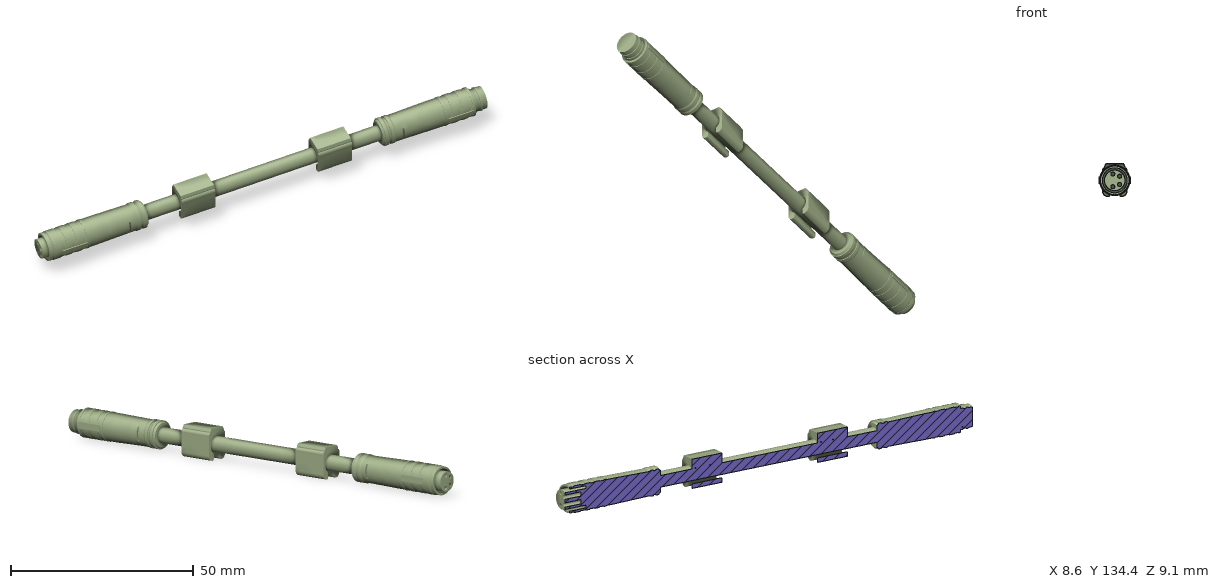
import cadquery as cq
import math


half_length = 67.2
cable_dia = 4.5

ring_dia = 8.3
shoulder_dia = 8.0

boot_end_dia = 7.7
boot_tip_dia = 6.9
boot_rib_dia = 8.0
boot_rib_starts = [0.4, 1.8]
boot_rib_length = 0.7
boot_rib_slope = 0.3
boot_groove_dia = 7.5

ring_length = 9.1
groove_count = 3
groove_pitch = 3.1
groove_width = 1.5
groove_depth = 0.1
groove_tip_height = 1.01
groove_full_height = 2.0
grip_length = 7.5
grip_height = 1.7
grip_span = 8.6

notch_width = 0.5
notch_span = 6.5

male_nose_dia = 6.9
male_core_dia = 6.5
male_rib_dia = male_nose_dia
male_rib_start = 65.7
male_rib_end = 65.2
male_neck_end = 64.1
male_ring_start = 63.3
male_ring_end = male_ring_start - ring_length
male_shoulder_end = 51.1
male_notch_y = 41.7
male_tip = 35.6

socket_face_dia = 5.6
socket_bore_dia = 6.9
socket_bore_depth = 5.4
socket_sleeve_front = -65.6
socket_groove_dia = 7.8
socket_groove_start = -64.1
socket_groove_bottom = -64.4
socket_groove_end = -64.6
socket_ring_start = -53.5
socket_ring_end = socket_ring_start - ring_length
socket_shoulder_start = -50.7
socket_notch_y = -41.1
socket_tip = -35.5

contact_dia = 1.1
contact_depth = 5.4
contact_points = [(1.3, 1.13), (1.3, -1.13), (-0.5, 1.7), (-0.5, -1.7)]

sleeve_length = 10.1
sleeve_centers = [21.1, -20.3]
sleeve_half_width = 3.4
sleeve_top = 4.6
sleeve_bottom = -4.5
sleeve_plate_half_width = 2.8
sleeve_plate_chamfer_width = 0.4
sleeve_plate_chamfer_height = 0.8
sleeve_shoulder_z = 3.5
sleeve_side_top = 2.4
sleeve_foot_radius = 1.5
sleeve_mouth_half_width = 1.3
sleeve_bore_dia = 5.1
sleeve_bore_z = -0.4

cut_margin = 1.3

diagonal = math.sqrt(0.5)


def turned(stations):
    """Solid of revolution about Y from (y, diameter) stations."""
    first_y = stations[0][0]
    last_y = stations[-1][0]
    outline = [(0, first_y)]
    outline += [(dia / 2, y) for y, dia in stations]
    outline.append((0, last_y))
    return cq.Workplane("XY").polyline(outline).close().revolve(360, (0, 0), (0, 1))


def cylinder(dia, y_start, y_end):
    return turned([(y_start, dia), (y_end, dia)])


def boot_stations(tip_y, direction):
    """Stations of a boot's ribbed end, going from the cable towards the plug."""
    distances = [(0, boot_tip_dia)]
    for start in boot_rib_starts:
        end = start + boot_rib_length
        distances += [
            (start, boot_groove_dia),
            (start, boot_rib_dia),
            (end, boot_rib_dia),
            (end + boot_rib_slope, boot_groove_dia),
        ]
    distances[-1] = (end + boot_rib_slope, boot_end_dia)
    return [(tip_y + direction * distance, dia) for distance, dia in distances]


def ring_groove(center_y):
    """Shallow groove over the top and bottom, ending in points beside the grip bars."""
    band = cylinder(ring_dia + cut_margin, center_y - groove_width, center_y + groove_width)
    band = band.cut(
        cylinder(ring_dia - 2 * groove_depth, center_y - groove_width, center_y + groove_width)
    )
    half = groove_width / 2
    upper_window = (
        cq.Workplane("YZ")
        .polyline([
            (center_y, groove_tip_height),
            (center_y + half, groove_full_height),
            (center_y + half, ring_dia),
            (center_y - half, ring_dia),
            (center_y - half, groove_full_height),
        ])
        .close()
        .extrude(ring_dia, both=True)
    )
    window = upper_window.union(upper_window.mirror("XY"))
    return band.intersect(window)


def locking_ring(start_y):
    center_y = start_y - ring_length / 2
    ring = cylinder(ring_dia, start_y, start_y - ring_length)
    for index in range(groove_count):
        offset = (index - (groove_count - 1) / 2) * groove_pitch
        ring = ring.cut(ring_groove(center_y + offset))
    grip = cq.Workplane("XY").box(grip_span, grip_length, grip_height).translate((0, center_y, 0))
    return ring.union(grip)


def cut_boot_notches(plug, center_y):
    band = cq.Workplane("XY").box(ring_dia + cut_margin, notch_width, ring_dia)
    band = band.cut(cq.Workplane("XY").box(notch_span, notch_width, ring_dia))
    return plug.cut(band.translate((0, center_y, 0)))


def male_plug():
    plug = turned([
        (half_length, male_core_dia),
        (male_rib_start, male_core_dia),
        (male_rib_start, male_rib_dia),
        (male_rib_end, male_rib_dia),
        (male_rib_end, male_core_dia),
        (male_neck_end, male_core_dia),
        (male_neck_end, male_nose_dia),
        (male_ring_start, male_nose_dia),
    ])
    plug = plug.union(locking_ring(male_ring_start))
    plug = plug.union(turned(
        boot_stations(male_tip, 1.3)
        + [(male_shoulder_end, shoulder_dia), (male_ring_end, shoulder_dia)]
    ))
    return cut_boot_notches(plug, male_notch_y)


def socket_plug():
    plug = turned(
        boot_stations(socket_tip, -1.3)
        + [(socket_shoulder_start, shoulder_dia), (socket_ring_start, shoulder_dia)]
    )
    plug = plug.union(locking_ring(socket_ring_start))
    plug = plug.union(turned([
        (socket_ring_end, ring_dia),
        (socket_groove_start, ring_dia),
        (socket_groove_bottom, socket_groove_dia),
        (socket_groove_end, socket_groove_dia),
        (socket_groove_end, shoulder_dia),
        (socket_sleeve_front, shoulder_dia),
    ]))
    plug = plug.cut(
        cylinder(socket_bore_dia, socket_sleeve_front + socket_bore_depth, socket_sleeve_front)
    )
    plug = plug.union(
        cylinder(socket_face_dia, socket_sleeve_front + socket_bore_depth, -half_length)
    )
    contacts = (
        cq.Workplane("XZ", origin=(0, -half_length, 0))
        .pushPoints(contact_points)
        .circle(contact_dia / 2)
        .extrude(-contact_depth)
    )
    plug = plug.cut(contacts)
    return cut_boot_notches(plug, socket_notch_y)


def clip_sleeve(center_y):
    """Sleeve with a raised top plate, rounded shoulders and two rounded feet."""
    shoulder_width = sleeve_half_width - sleeve_plate_half_width
    shoulder_height = sleeve_shoulder_z - sleeve_side_top
    foot_x = sleeve_half_width - sleeve_foot_radius
    foot_width = foot_x - sleeve_mouth_half_width
    foot_center_z = sleeve_bottom + sleeve_foot_radius
    half_outline = (
        cq.Workplane("XZ", origin=(0, center_y + sleeve_length / 2, 0))
        .moveTo(0, sleeve_top)
        .lineTo(sleeve_plate_half_width - sleeve_plate_chamfer_width, sleeve_top)
        .lineTo(sleeve_plate_half_width, sleeve_top - sleeve_plate_chamfer_height)
        .lineTo(sleeve_plate_half_width, sleeve_shoulder_z)
        .threePointArc(
            (
                sleeve_plate_half_width + shoulder_width * diagonal,
                sleeve_side_top + shoulder_height * diagonal,
            ),
            (sleeve_half_width, sleeve_side_top),
        )
        .lineTo(sleeve_half_width, foot_center_z)
        .threePointArc(
            (foot_x + sleeve_foot_radius * diagonal, foot_center_z - sleeve_foot_radius * diagonal),
            (foot_x, sleeve_bottom),
        )
        .threePointArc(
            (foot_x - foot_width * diagonal, foot_width * (1 - diagonal) + sleeve_bottom),
            (sleeve_mouth_half_width, foot_width + sleeve_bottom),
        )
        .lineTo(sleeve_mouth_half_width, 0)
        .lineTo(0, 0)
        .close()
        .extrude(sleeve_length)
    )
    bore = cylinder(
        sleeve_bore_dia, center_y - sleeve_length / 2, center_y + sleeve_length / 2
    ).translate((0, 0, sleeve_bore_z))
    return half_outline.union(half_outline.mirror("YZ")).cut(bore)


result = cylinder(cable_dia, male_tip, socket_tip)
result = result.union(male_plug()).union(socket_plug())
for sleeve_center in sleeve_centers:
    result = result.union(clip_sleeve(sleeve_center))